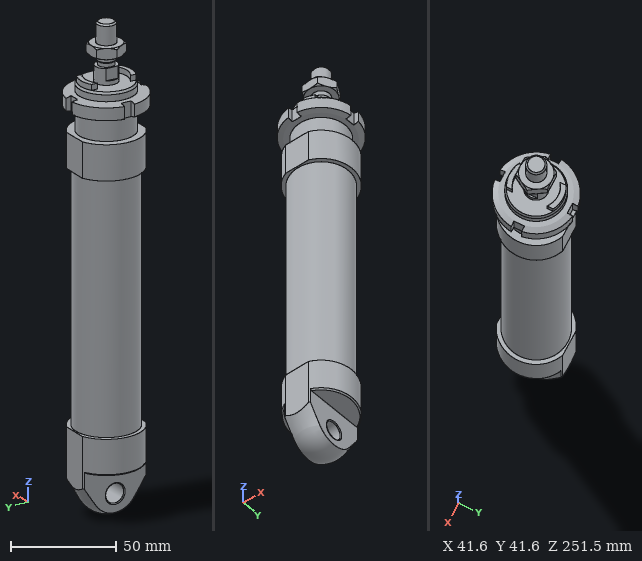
import cadquery as cq
import math

total_height = 251.5
rear_cap_bottom = 26.0
rear_cap_top = 44.8
front_cap_top = 195.7
front_cap_bottom = 177.0
neck_top = 220.8

barrel_diameter = 33.7
cap_diameter = 38.2
cap_across_flats = 35.5
cap_edge_chamfer = 0.8
neck_diameter = 30.0
neck_face_diameter = 28.5
neck_chamfer_width = (neck_diameter - neck_face_diameter) / 2
neck_chamfer_height = 1.3

lug_width = 13.5
lug_height = 3.0
lug_inner_diameter = 23.0

tang_thickness = 16.0
tang_nose_radius = 15.0
tang_cone_angle = math.radians(30)
pin_hole_diameter = 10.0
pin_hole_chamfer = 0.5
pin_hole_height = 12.0

rod_diameter = 12.0
rod_shoulder = 229.4
wrench_flat_bottom = 223.0
wrench_across_flats = 10.0
groove_diameter = 8.5
groove_top = 231.5
thread_diameter = 10.0
tip_diameter = 8.3
tip_chamfer = (thread_diameter - tip_diameter) / 2
thread_end_chamfer = (thread_diameter - groove_diameter) / 2

hex_bottom = 235.0
hex_height = 5.8
hex_across_flats = 16.9
hex_chamfer_angle = math.radians(30)

ring_bottom = 208.0
ring_height = 8.0
ring_diameter = 42.0
ring_face_diameter = 36.0
ring_bevel_height = 0.8
slot_width = 5.5
slot_count = 4


def cylinder(diameter, bottom, top):
    """Solid cylinder on the Z axis between two heights."""
    return cq.Workplane("XY").workplane(offset=bottom).circle(diameter / 2).extrude(top - bottom)


def slab(size_x, size_y, bottom, top):
    """Box centred on the Z axis between two heights."""
    return cq.Workplane("XY").workplane(offset=bottom).rect(size_x, size_y).extrude(top - bottom)


def make_front_cap():
    flats = slab(cap_diameter, cap_across_flats, front_cap_bottom, front_cap_top)
    return cylinder(cap_diameter, front_cap_bottom, front_cap_top).intersect(flats)


def make_rear_cap():
    cap = cylinder(cap_diameter, rear_cap_bottom, rear_cap_top)
    cap = cap.faces("<Z").chamfer(cap_edge_chamfer)
    return cap.intersect(slab(cap_diameter, cap_across_flats, rear_cap_bottom, rear_cap_top))


def make_pin_hole():
    """Cutter along X with a countersink at each face of the tang."""
    face_x = tang_thickness / 2
    hole_radius = pin_hole_diameter / 2
    mouth_radius = hole_radius + pin_hole_chamfer
    bore_end_x = face_x - pin_hole_chamfer
    return (
        cq.Workplane("XZ")
        .polyline([
            (-face_x, 0),
            (-face_x, mouth_radius),
            (-bore_end_x, hole_radius),
            (bore_end_x, hole_radius),
            (face_x, mouth_radius),
            (face_x, 0),
        ])
        .close()
        .revolve(360, (0, 0), (1, 0))
        .translate((0, 0, pin_hole_height))
    )


def make_tang():
    """Slice of a round nose: a sphere running tangentially into a cone, then into the cap."""
    cap_radius = cap_diameter / 2
    tangent_radius = tang_nose_radius * math.cos(tang_cone_angle)
    tangent_height = tang_nose_radius * (1 - math.sin(tang_cone_angle))
    cone_top = tangent_height + (cap_radius - tangent_radius) / math.tan(tang_cone_angle)
    mid_angle = (math.pi / 2 + tang_cone_angle) / 2
    arc_middle = (tang_nose_radius * math.cos(mid_angle), tang_nose_radius * (1 - math.sin(mid_angle)))
    tang_top = (rear_cap_bottom + rear_cap_top) / 2

    nose = (
        cq.Workplane("XZ")
        .moveTo(0, 0)
        .threePointArc(arc_middle, (tangent_radius, tangent_height))
        .lineTo(cap_radius, cone_top)
        .lineTo(cap_radius, tang_top)
        .lineTo(0, tang_top)
        .close()
        .revolve(360, (0, 0), (0, 1))
    )
    tang = nose.intersect(slab(tang_thickness, cap_across_flats, 0, tang_top))
    return tang.cut(make_pin_hole())


def make_lugs():
    lug_top = neck_top + lug_height
    ring = cylinder(neck_face_diameter, neck_top, lug_top)
    ring = ring.cut(cylinder(lug_inner_diameter, neck_top, lug_top))
    return ring.intersect(slab(lug_width, neck_face_diameter, neck_top, lug_top))


def make_housing():
    barrel = cylinder(barrel_diameter, rear_cap_top, front_cap_bottom)
    neck = cylinder(neck_diameter, front_cap_top, neck_top)
    neck = neck.faces(">Z").chamfer(neck_chamfer_height, neck_chamfer_width)
    housing = barrel.union(make_rear_cap()).union(make_tang())
    return housing.union(make_front_cap()).union(neck).union(make_lugs())


def make_rod():
    """Rod standing on the neck face, with two wrench flats, a relief groove and a threaded end."""
    shank = cylinder(rod_diameter, neck_top, rod_shoulder)
    flats = slab(wrench_across_flats, rod_diameter, wrench_flat_bottom, rod_shoulder)
    lower_shank = cylinder(rod_diameter, neck_top, wrench_flat_bottom)
    shank = shank.intersect(flats.union(lower_shank))
    groove = cylinder(groove_diameter, rod_shoulder, groove_top)
    thread = cylinder(thread_diameter, groove_top, total_height)
    thread = thread.faces(">Z").chamfer(tip_chamfer).faces("<Z").chamfer(thread_end_chamfer)
    return shank.union(groove).union(thread)


def make_rod_nut():
    """Hexagon with its corners bevelled at both ends, flats facing +Y and -Y."""
    hex_top = hex_bottom + hex_height
    across_corners = hex_across_flats / math.cos(math.pi / 6)
    bevel_width = (across_corners - hex_across_flats) / 2
    bevel_height = bevel_width * math.tan(hex_chamfer_angle)
    hexagon = (
        cq.Workplane("XY").workplane(offset=hex_bottom).polygon(6, across_corners).extrude(hex_height)
    )
    bevelled = cylinder(across_corners, hex_bottom, hex_top)
    bevelled = bevelled.faces(">Z").chamfer(bevel_height, bevel_width)
    bevelled = bevelled.faces("<Z").chamfer(bevel_height, bevel_width)
    return hexagon.intersect(bevelled).cut(cylinder(thread_diameter, hex_bottom, hex_top))


def make_neck_nut():
    """Round nut with bevelled faces and slots spaced evenly around its rim."""
    ring_top = ring_bottom + ring_height
    bore_radius = neck_diameter / 2
    face_radius = ring_face_diameter / 2
    rim_radius = ring_diameter / 2
    nut = (
        cq.Workplane("XZ")
        .polyline([
            (bore_radius, ring_bottom),
            (face_radius, ring_bottom),
            (rim_radius, ring_bottom + ring_bevel_height),
            (rim_radius, ring_top - ring_bevel_height),
            (face_radius, ring_top),
            (bore_radius, ring_top),
        ])
        .close()
        .revolve(360, (0, 0), (0, 1))
    )
    slot_depth = rim_radius - face_radius
    slot = slab(2 * slot_depth, slot_width, ring_bottom, ring_top).translate((rim_radius, 0, 0))
    for index in range(slot_count):
        nut = nut.cut(slot.rotate((0, 0, 0), (0, 0, 1), index * 360 / slot_count))
    return nut


housing = make_housing()
rod = make_rod()
rod_nut = make_rod_nut()
neck_nut = make_neck_nut()

result = cq.Compound.makeCompound([housing.val(), rod.val(), rod_nut.val(), neck_nut.val()])